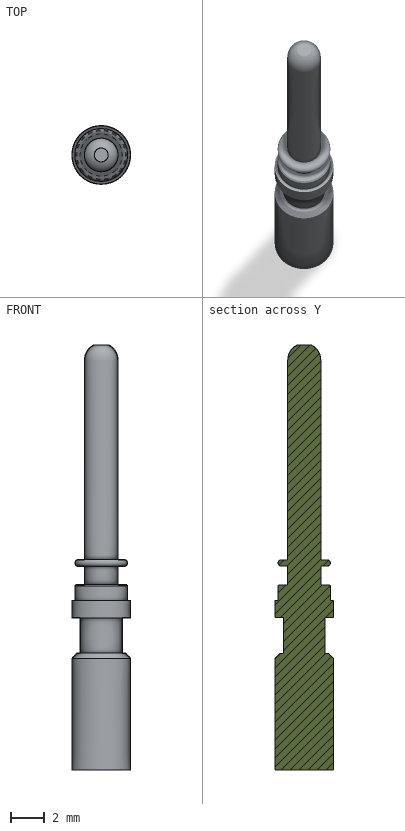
import cadquery as cq
import math

total_height = 25.3

body_radius = 3.5 / 2
neck_radius = 2.5 / 2
collar_radius = 3.14 / 2
pin_radius = 2.0 / 2

body_top = 6.95
flange_bottom = 9.05
flange_top = 10.1
collar_top = 11.03
ring_bottom = 12.12
ring_thickness = 0.4

body_chamfer = 0.3
collar_chamfer = 0.08
tip_height = 0.9

ring_top = ring_bottom + ring_thickness
ring_edge_radius = ring_thickness / 2
ring_flat_radius = collar_radius - ring_edge_radius
ring_middle = ring_bottom + ring_edge_radius

tip_base = total_height - tip_height
tip_flat_radius = math.sqrt(pin_radius**2 - tip_height**2)
dome_middle_angle = math.asin(tip_height / pin_radius) / 2
dome_middle = (
    pin_radius * math.cos(dome_middle_angle),
    tip_base + pin_radius * math.sin(dome_middle_angle),
)

profile = (
    cq.Workplane("XZ")
    .moveTo(0, 0)
    .lineTo(body_radius, 0)
    .lineTo(body_radius, body_top - body_chamfer)
    .lineTo(body_radius - body_chamfer, body_top)
    .lineTo(neck_radius, body_top)
    .lineTo(neck_radius, flange_bottom)
    .lineTo(body_radius, flange_bottom)
    .lineTo(body_radius, flange_top)
    .lineTo(collar_radius, flange_top)
    .lineTo(collar_radius, collar_top - collar_chamfer)
    .lineTo(collar_radius - collar_chamfer, collar_top)
    .lineTo(pin_radius, collar_top)
    .lineTo(pin_radius, ring_bottom)
    .lineTo(ring_flat_radius, ring_bottom)
    .threePointArc((collar_radius, ring_middle), (ring_flat_radius, ring_top))
    .lineTo(pin_radius, ring_top)
    .lineTo(pin_radius, tip_base)
    .threePointArc(dome_middle, (tip_flat_radius, total_height))
    .lineTo(0, total_height)
    .close()
)

result = profile.revolve(360, (0, 0, 0), (0, 1, 0))